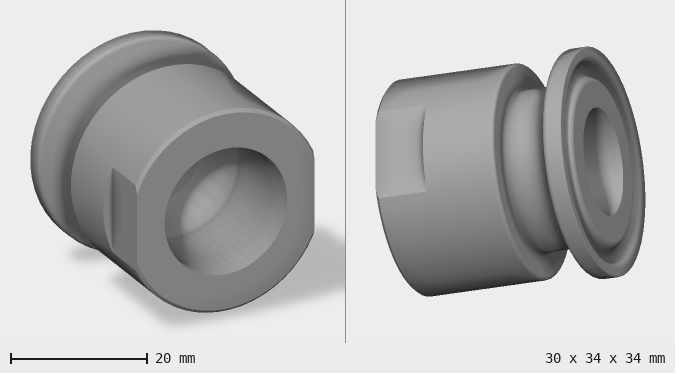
import cadquery as cq
import math

length = 30.0
flange_radius = 17.0
neck_radius = 12.0
body_radius = 16.0

clamp_angle = math.radians(20)
rim_width = 2.85
rim_front_round = 0.2
rim_back_round = 0.8
neck_round = 2.0

shoulder_x = 11.0
shoulder_round = 0.5
end_chamfer = 0.5

groove_mean_radius = 13.75
groove_depth = 1.6
groove_bottom_round = 1.2
groove_edge_round = 0.8
groove_wall_angle = math.radians(67.5)

bore_radius = 8.0
straight_bore_depth = 6.2
bore_cone_length = 8.0
bore_end_radius = 10.0

flat_distance = 29.0
flat_start_x = 22.0


def round_corner(profile, before, corner, after, radius):
    """Line towards a corner of the profile, then a tangent arc around it."""
    corner_v = cq.Vector(*corner)
    to_before = (cq.Vector(*before) - corner_v).normalized()
    to_after = (cq.Vector(*after) - corner_v).normalized()
    half_angle = to_before.getAngle(to_after) / 2
    tangent_length = radius / math.tan(half_angle)
    middle_offset = radius / math.sin(half_angle) - radius
    start = corner_v + to_before * tangent_length
    middle = corner_v + (to_before + to_after).normalized() * middle_offset
    end = corner_v + to_after * tangent_length
    return profile.lineTo(start.x, start.y).threePointArc((middle.x, middle.y), (end.x, end.y))


def revolve_about_x(profile):
    return profile.close().revolve(360, (0, 0, 0), (1, 0, 0))


def make_body():
    slope_foot_x = rim_width + (flange_radius - neck_radius) * math.tan(clamp_angle)
    corners = [
        (0, flange_radius, rim_front_round),
        (rim_width, flange_radius, rim_back_round),
        (slope_foot_x, neck_radius, neck_round),
        (shoulder_x, neck_radius, shoulder_round),
        (shoulder_x, body_radius, shoulder_round),
    ]
    chamfer_start = (length - end_chamfer, body_radius)
    points = [(0, 0)] + [corner[:2] for corner in corners] + [chamfer_start]
    profile = cq.Workplane("XY").moveTo(0, 0)
    for i, (x, r, rounding) in enumerate(corners):
        profile = round_corner(profile, points[i], (x, r), points[i + 2], rounding)
    profile = profile.lineTo(*chamfer_start)
    profile = profile.lineTo(length, body_radius - end_chamfer).lineTo(length, 0)
    return revolve_about_x(profile)


def make_gasket_groove():
    sin_wall = math.sin(groove_wall_angle)
    cos_wall = math.cos(groove_wall_angle)
    sin_half = math.sin(groove_wall_angle / 2)
    cos_half = math.cos(groove_wall_angle / 2)
    bottom_offset = groove_bottom_round * sin_wall
    bottom_depth = groove_depth - groove_bottom_round * (1 - cos_wall)
    edge_depth = groove_edge_round * (1 - cos_wall)
    edge_offset = bottom_offset + (bottom_depth - edge_depth) / math.tan(groove_wall_angle)
    rim_offset = edge_offset + groove_edge_round * sin_wall
    edge_middle = (
        groove_edge_round * (1 - cos_half),
        rim_offset - groove_edge_round * sin_half,
    )

    mean = groove_mean_radius
    profile = (
        cq.Workplane("XY")
        .moveTo(0, mean - rim_offset)
        .threePointArc((edge_middle[0], mean - edge_middle[1]), (edge_depth, mean - edge_offset))
        .lineTo(bottom_depth, mean - bottom_offset)
        .threePointArc((groove_depth, mean), (bottom_depth, mean + bottom_offset))
        .lineTo(edge_depth, mean + edge_offset)
        .threePointArc((edge_middle[0], mean + edge_middle[1]), (0, mean + rim_offset))
    )
    return revolve_about_x(profile)


def make_bore():
    profile = (
        cq.Workplane("XY")
        .moveTo(0, 0)
        .lineTo(0, bore_radius)
        .lineTo(straight_bore_depth, bore_radius)
        .lineTo(straight_bore_depth + bore_cone_length, bore_end_radius)
        .lineTo(length, bore_end_radius)
        .lineTo(length, 0)
    )
    return revolve_about_x(profile)


def make_flat_cutter(side):
    """Block outside one wrench flat; side is -1 or +1 along Y."""
    flat_length = length - flat_start_x
    block_depth = body_radius - flat_distance / 2
    return cq.Workplane("XY").box(flat_length, block_depth, 2 * body_radius).translate(
        (flat_start_x + flat_length / 2, side * (flat_distance + block_depth) / 2, 0)
    )


result = make_body().cut(make_gasket_groove()).cut(make_bore())
for side in (-1, 1):
    result = result.cut(make_flat_cutter(side))